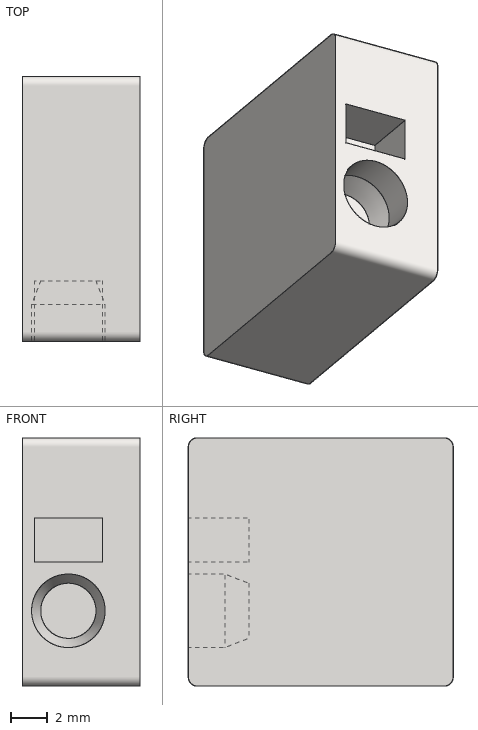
import cadquery as cq

WIDTH = 6.4
DEPTH = 14.4
HEIGHT = 13.5
EDGE_RADIUS = 0.5

OPENING_X = 2.5

BORE_Z = 4.1
BORE_DIAMETER = 4.0
BORE_DEPTH = 2.0
CONE_LENGTH = 1.3
FLOOR_DIAMETER = 3.0
FLOOR_DEPTH = BORE_DEPTH + CONE_LENGTH

POCKET_WIDTH = 3.7
POCKET_HEIGHT = 2.4
POCKET_BOTTOM_Z = 6.75
POCKET_DEPTH = FLOOR_DEPTH


def make_block():
    """Block with its four edges along X rounded; the front face lies at Y = 0."""
    block = cq.Workplane("XY").box(WIDTH, DEPTH, HEIGHT, centered=False)
    return block.edges("|X").fillet(EDGE_RADIUS)


def make_bore_cutter():
    """Revolve the half section of the bore and its cone about the bore axis."""
    bore_radius = BORE_DIAMETER / 2
    floor_radius = FLOOR_DIAMETER / 2
    half_section = (
        cq.Workplane("XY")
        .lineTo(bore_radius, 0)
        .lineTo(bore_radius, BORE_DEPTH)
        .lineTo(floor_radius, FLOOR_DEPTH)
        .lineTo(0, FLOOR_DEPTH)
        .close()
    )
    cutter = half_section.revolve(360, (0, 0, 0), (0, 1, 0))
    return cutter.translate((OPENING_X, 0, BORE_Z))


def make_pocket_cutter():
    """Rectangular prism that reaches into the block from the front face."""
    cutter = cq.Workplane("XY").box(
        POCKET_WIDTH, POCKET_DEPTH, POCKET_HEIGHT, centered=(True, False, False)
    )
    return cutter.translate((OPENING_X, 0, POCKET_BOTTOM_Z))


result = make_block().cut(make_bore_cutter()).cut(make_pocket_cutter())